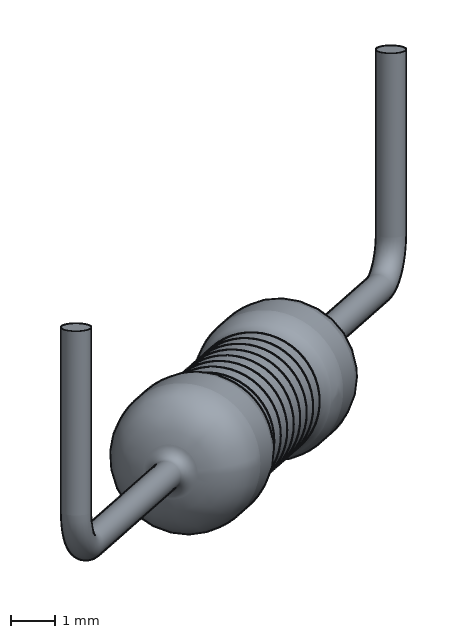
import cadquery as cq
import math

overall_length = 25.7
overall_height = 7.1

lead_diameter = 0.7
lead_bend_radius = 1.03

cap_diameter = 3.5
cap_inner_end = 2.83
cap_outer_end = 3.75
dome_radius = 1.25
flare_radius = 0.33

waist_diameter = 2.98
band_diameter = 3.0
band_width = 0.51
band_pitch = 2 * band_width
band_count = 4

lead_radius = lead_diameter / 2
cap_radius = cap_diameter / 2
waist_radius = waist_diameter / 2
waist_end = ((band_count - 1) * band_pitch + band_width) / 2


def point_on_arc(center, radius, angle):
    """Point at an angle from +X toward +Y around a center."""
    return (center[0] + radius * math.cos(angle), center[1] + radius * math.sin(angle))


def make_end_cap():
    """Revolve the shoulder, cap and dome at the +Y end; profile points are (radius, Y)."""
    shoulder_length = cap_inner_end - waist_end
    shoulder_rise = cap_radius - waist_radius
    shoulder_radius = (shoulder_length**2 + shoulder_rise**2) / (4 * shoulder_rise)
    half_sweep = math.asin(shoulder_length / (2 * shoulder_radius)) / 2
    hollow_center = (waist_radius + shoulder_radius, waist_end)
    bulge_center = (cap_radius - shoulder_radius, cap_inner_end)
    shoulder_middle = ((waist_radius + cap_radius) / 2, (waist_end + cap_inner_end) / 2)
    hollow_middle = point_on_arc(hollow_center, shoulder_radius, math.pi - half_sweep)
    bulge_middle = point_on_arc(bulge_center, shoulder_radius, -half_sweep)

    dome_center = (cap_radius - dome_radius, cap_outer_end)
    flare_offset = lead_radius + flare_radius - dome_center[0]
    center_distance = dome_radius + flare_radius
    flare_end = cap_outer_end + math.sqrt(center_distance**2 - flare_offset**2)
    flare_center = (lead_radius + flare_radius, flare_end)
    contact_angle = math.acos(flare_offset / center_distance)
    dome_middle = point_on_arc(dome_center, dome_radius, contact_angle / 2)
    dome_end = point_on_arc(dome_center, dome_radius, contact_angle)
    flare_middle = point_on_arc(flare_center, flare_radius, math.pi + contact_angle / 2)

    return (
        cq.Workplane("XY")
        .moveTo(0, waist_end)
        .lineTo(waist_radius, waist_end)
        .threePointArc(hollow_middle, shoulder_middle)
        .threePointArc(bulge_middle, (cap_radius, cap_inner_end))
        .lineTo(cap_radius, cap_outer_end)
        .threePointArc(dome_middle, dome_end)
        .threePointArc(flare_middle, (lead_radius, flare_end))
        .lineTo(0, flare_end)
        .close()
        .revolve(360, (0, 0, 0), (0, 1, 0))
    )


def make_lead():
    """Sweep the +Y lead from the middle of the body through its upward bend."""
    upright_y = overall_length / 2 - lead_radius
    top_z = overall_height - cap_radius
    bend_start_y = upright_y - lead_bend_radius
    path = (
        cq.Workplane("YZ")
        .lineTo(bend_start_y, 0)
        .tangentArcPoint((upright_y, lead_bend_radius), relative=False)
        .lineTo(upright_y, top_z)
    )
    return cq.Workplane("XZ").circle(lead_radius).sweep(path)


def make_disc(diameter, center_y, width):
    """Make a cylinder along Y, centered at center_y."""
    start_plane = cq.Workplane("XZ", origin=(0, center_y + width / 2, 0))
    return start_plane.circle(diameter / 2).extrude(width)


result = make_disc(waist_diameter, 0, 2 * waist_end)
cap_with_lead = make_end_cap().union(make_lead())
result = result.union(cap_with_lead).union(cap_with_lead.mirror("XZ"))

for band_index in range(band_count):
    band_y = (band_index - (band_count - 1) / 2) * band_pitch
    result = result.union(make_disc(band_diameter, band_y, band_width))